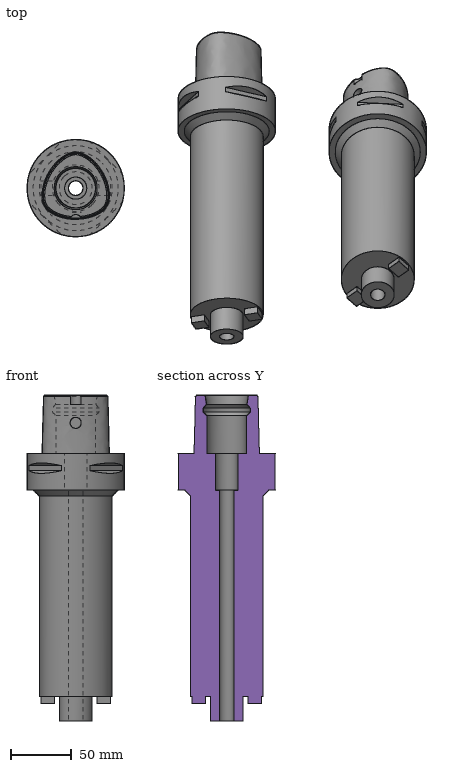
import cadquery as cq
import math

TOTAL_LENGTH = 268.0
FLANGE_DIAMETER = 80.0
FLANGE_HEIGHT = 30.0
NECK_DIAMETER = 70.0
NECK_HEIGHT = 5.0
BODY_DIAMETER = 60.0
PILOT_DIAMETER = 27.0
PILOT_HEIGHT = 20.0

SHANK_HEIGHT = 48.0
SHANK_DIAMETER = 55.5
LOBE_COUNT = 3
LOBE_HEIGHT = 2.0
SHANK_TAPER = 1 / 40
SHANK_CHAMFER = 1.0
SPLINE_POINTS = 24

MOUTH_DIAMETER = 35.5
MOUTH_THROAT_DIAMETER = 33.0
MOUTH_DEPTH = 7.5
GROOVE_DIAMETER = 38.3
GROOVE_TOP_DEPTH = 10.7
GROOVE_BOTTOM_DEPTH = 14.0
BORE_DIAMETER = 32.5
BORE_START_DEPTH = GROOVE_BOTTOM_DEPTH + (GROOVE_DIAMETER - BORE_DIAMETER) / 2
BORE_DEPTH = 48.0
STEP_DIAMETER = 18.2
STEP_DEPTH = 78.0
COOLANT_DIAMETER = 11.8

NOTCH_DIAMETER = 9.6
NOTCH_DEPTH = 7.5
NOTCH_OFFSET = 26.5
POCKET_DIAMETER = 9.0
POCKET_DROP = 22.8
POCKET_FLOOR = 20.0

SLOT_COUNT = 4
SLOT_DROP = 12.0
SLOT_FLOOR_OFFSET = 35.5
SLOT_FLOOR_WIDTH = 4.0
SLOT_MOUTH_WIDTH = 8.5

KEY_INNER = 17.5
KEY_OUTER = 28.7
KEY_WIDTH = 12.0
KEY_HEIGHT = 5.5

body_top = TOTAL_LENGTH - SHANK_HEIGHT - FLANGE_HEIGHT - NECK_HEIGHT
flange_bottom = body_top + NECK_HEIGHT
flange_top = flange_bottom + FLANGE_HEIGHT

shank_radius = SHANK_DIAMETER / 2


def revolve_profile(points):
    """Turn a closed (radius, height) outline about the Z axis."""
    return cq.Workplane("XZ").polyline(points).close().revolve(360, (0, 0), (0, 1))


def lobed_wire(radius, level):
    """Closed three-lobed outline; its tangent distance varies with three times the angle from +Y."""
    points = []
    for index in range(SPLINE_POINTS):
        angle = 2 * math.pi * index / SPLINE_POINTS - math.pi / 2
        lobe_angle = LOBE_COUNT * (angle - math.pi / 2)
        distance = radius + LOBE_HEIGHT * math.cos(lobe_angle)
        slope = -LOBE_COUNT * LOBE_HEIGHT * math.sin(lobe_angle)
        x = distance * math.cos(angle) - slope * math.sin(angle)
        y = distance * math.sin(angle) + slope * math.cos(angle)
        points.append(cq.Vector(x, y, level))
    return cq.Wire.assembleEdges([cq.Edge.makeSpline(points, periodic=True)])


def lobed_frustum(bottom_radius, top_radius, bottom, top):
    wires = [lobed_wire(bottom_radius, bottom), lobed_wire(top_radius, top)]
    return cq.Workplane(cq.Solid.makeLoft(wires, True))


def make_turned_body():
    return revolve_profile([
        (0, 0),
        (PILOT_DIAMETER / 2, 0),
        (PILOT_DIAMETER / 2, PILOT_HEIGHT),
        (BODY_DIAMETER / 2, PILOT_HEIGHT),
        (BODY_DIAMETER / 2, body_top),
        (NECK_DIAMETER / 2, flange_bottom),
        (FLANGE_DIAMETER / 2, flange_bottom),
        (FLANGE_DIAMETER / 2, flange_top),
        (0, flange_top),
    ])


def make_shank():
    chamfer_start = TOTAL_LENGTH - SHANK_CHAMFER
    chamfer_radius = shank_radius - SHANK_TAPER * (chamfer_start - flange_top)
    end_radius = chamfer_radius - SHANK_CHAMFER
    taper = lobed_frustum(shank_radius, chamfer_radius, flange_top, chamfer_start)
    return taper.union(lobed_frustum(chamfer_radius, end_radius, chamfer_start, TOTAL_LENGTH))


def make_bore():
    top = TOTAL_LENGTH
    return revolve_profile([
        (0, 0),
        (COOLANT_DIAMETER / 2, 0),
        (COOLANT_DIAMETER / 2, top - STEP_DEPTH),
        (STEP_DIAMETER / 2, top - STEP_DEPTH),
        (STEP_DIAMETER / 2, top - BORE_DEPTH),
        (BORE_DIAMETER / 2, top - BORE_DEPTH),
        (BORE_DIAMETER / 2, top - BORE_START_DEPTH),
        (GROOVE_DIAMETER / 2, top - GROOVE_BOTTOM_DEPTH),
        (GROOVE_DIAMETER / 2, top - GROOVE_TOP_DEPTH),
        (MOUTH_THROAT_DIAMETER / 2, top - MOUTH_DEPTH),
        (MOUTH_DIAMETER / 2, top),
        (0, top),
    ])


def make_notch():
    return (
        cq.Workplane("XY", origin=(0, -NOTCH_OFFSET, TOTAL_LENGTH))
        .circle(NOTCH_DIAMETER / 2)
        .extrude(-NOTCH_DEPTH)
    )


def make_pocket():
    return (
        cq.Workplane("XZ", origin=(0, -POCKET_FLOOR, TOTAL_LENGTH - POCKET_DROP))
        .circle(POCKET_DIAMETER / 2)
        .extrude(shank_radius - POCKET_FLOOR)
    )


def make_slots():
    """Straight slots with sloping walls, set midway between the X and Y axes."""
    slot_level = flange_top - SLOT_DROP
    slot = (
        cq.Workplane("XZ", origin=(0, 0, slot_level))
        .moveTo(SLOT_FLOOR_OFFSET, -SLOT_FLOOR_WIDTH / 2)
        .lineTo(FLANGE_DIAMETER / 2, -SLOT_MOUTH_WIDTH / 2)
        .lineTo(FLANGE_DIAMETER / 2, SLOT_MOUTH_WIDTH / 2)
        .lineTo(SLOT_FLOOR_OFFSET, SLOT_FLOOR_WIDTH / 2)
        .close()
        .extrude(FLANGE_DIAMETER / 2, both=True)
    )
    pitch = 360 / SLOT_COUNT
    slots = cq.Workplane()
    for index in range(SLOT_COUNT):
        slots = slots.add(slot.rotate((0, 0, 0), (0, 0, 1), pitch * (index + 0.5)))
    return slots.combine()


def make_keys():
    key_middle = (KEY_INNER + KEY_OUTER) / 2
    return (
        cq.Workplane("XY", origin=(0, 0, PILOT_HEIGHT))
        .pushPoints([(-key_middle, 0), (key_middle, 0)])
        .rect(KEY_OUTER - KEY_INNER, KEY_WIDTH)
        .extrude(-KEY_HEIGHT)
    )


result = make_turned_body().union(make_shank()).union(make_keys())
for cutter in (make_bore(), make_notch(), make_pocket(), make_slots()):
    result = result.cut(cutter)